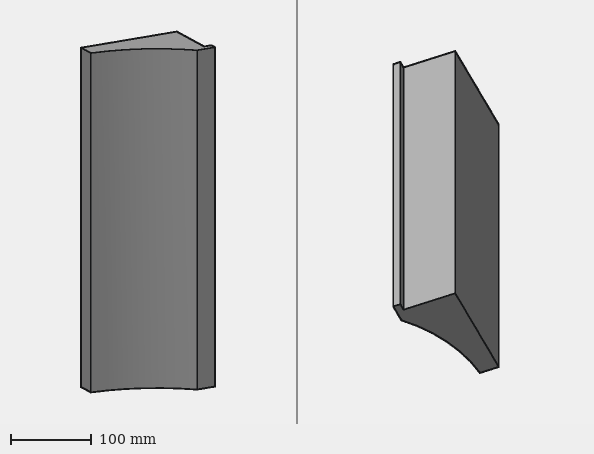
import cadquery as cq

width = 79.5
depth = 146.0
height = 441.5

foot_width = 25.5
lip_thickness = 9.5
lip_rise = 10.0
edge_length = 25.5
cove_radius = 198.5

shoulder_y = depth - lip_rise
lip_x = width - lip_thickness
cove_top_y = depth - edge_length

profile = (
    cq.Workplane("XY")
    .moveTo(0, 0)
    .lineTo(foot_width, 0)
    .radiusArc((width, cove_top_y), cove_radius)
    .lineTo(width, depth)
    .lineTo(lip_x, depth)
    .lineTo(lip_x, shoulder_y)
    .lineTo(0, shoulder_y)
    .close()
)

result = profile.extrude(height)